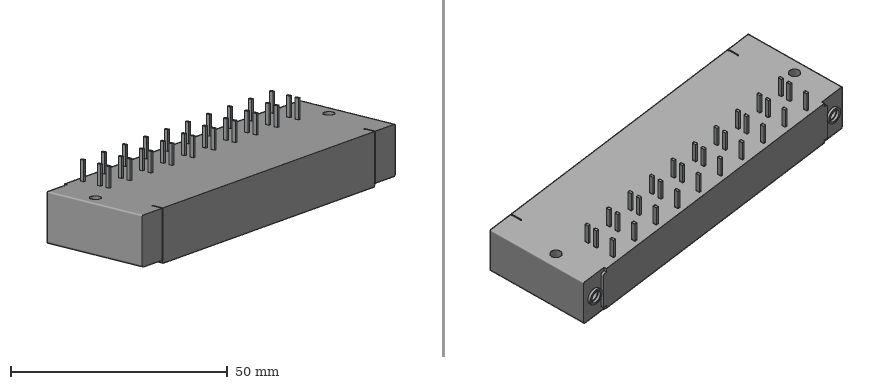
import cadquery as cq

LENGTH = 91.4
DEPTH = 29.3

BODY_LENGTH = 77.0
BODY_HEIGHT = 13.4
BODY_CHAMFER = 1.4
RELIEF_START = 13.7
RELIEF_WIDTH = 0.4
RELIEF_HEIGHT = 0.8

END_SETBACK = 0.7
END_BOTTOM = -12.6
END_TOP_RADIUS = 0.4
END_BOTTOM_RADIUS = 0.55

SHOULDER_LENGTH = 79.2
SHOULDER_TOP = -1.0
SHOULDER_BOTTOM = -11.25
SHOULDER_RADIUS = 0.7

RIDGE_LENGTH = 73.15
RIDGE_START = 26.3
RIDGE_DROP = 0.6

SLOT_START = 26.15
SLOT_WIDTH = 0.3

MOUNT_Y = 42.15
BOSS_Z = -6.2
BOSS_RADIUS = 2.1
COUNTERBORE_RADIUS = 1.6
COUNTERBORE_DEPTH = 0.7
BORE_RADIUS = 1.3
BORE_DEPTH = 4.6
SCREW_X = 12.25
SCREW_RADIUS = 1.4
SCREW_DEPTH = 4.6

PIN_COLUMNS_X = (1.8, 6.95, 9.5)
PIN_ROWS = 10
PIN_PITCH = 7.6
PIN_WIDTH = 1.0
PIN_THICKNESS = 0.6
PIN_HEIGHT = 5.2


def box(x_range, y_range, z_range):
    """Axis-aligned box spanning the given (low, high) ranges."""
    (x0, x1), (y0, y1), (z0, z1) = x_range, y_range, z_range
    return cq.Workplane("XY").box(x1 - x0, y1 - y0, z1 - z0, centered=False).translate((x0, y0, z0))


def centered_span(length):
    return (-length / 2, length / 2)


def make_end_blocks():
    """One bar carries both end blocks; the body covers its middle."""
    bar = box((END_SETBACK, DEPTH), centered_span(LENGTH), (END_BOTTOM, 0))
    bar = bar.edges("|X and >Z").fillet(END_TOP_RADIUS)
    return bar.edges("|X and <Z").fillet(END_BOTTOM_RADIUS)


def make_body():
    body = box((0, DEPTH), centered_span(BODY_LENGTH), (-BODY_HEIGHT, 0))
    body = body.edges("<X and <Z").chamfer(BODY_CHAMFER)
    return body.cut(make_edge_reliefs())


def make_edge_reliefs():
    """Triangular prisms that bevel the two lower side edges of the body at the rear."""
    edge = BODY_LENGTH / 2
    profile = [
        (edge - RELIEF_WIDTH, -BODY_HEIGHT),
        (edge, -BODY_HEIGHT),
        (edge, -BODY_HEIGHT + RELIEF_HEIGHT),
    ]
    prism = cq.Workplane("YZ", origin=(RELIEF_START, 0, 0)).polyline(profile).close()
    prism = prism.extrude(DEPTH - RELIEF_START)
    return prism.union(prism.mirror("XZ"))


def make_shoulder():
    plate = box((0, END_SETBACK), centered_span(SHOULDER_LENGTH), (SHOULDER_BOTTOM, SHOULDER_TOP))
    return plate.edges("|X and >Z").fillet(SHOULDER_RADIUS)


def make_snap_ridge():
    profile = [
        (RIDGE_START, -BODY_HEIGHT),
        (RIDGE_START, -BODY_HEIGHT - RIDGE_DROP),
        (DEPTH, -BODY_HEIGHT),
    ]
    return cq.Workplane("XZ").polyline(profile).close().extrude(RIDGE_LENGTH / 2, both=True)


def make_pins():
    centers = [
        (x, (row - (PIN_ROWS - 1) / 2) * PIN_PITCH)
        for x in PIN_COLUMNS_X
        for row in range(PIN_ROWS)
    ]
    return cq.Workplane("XY").pushPoints(centers).rect(PIN_WIDTH, PIN_THICKNESS).extrude(PIN_HEIGHT)


def mount_cylinders(radius, depth):
    """Cylinders along X at both mounting positions, starting at the front face."""
    centers = [(-MOUNT_Y, BOSS_Z), (MOUNT_Y, BOSS_Z)]
    return cq.Workplane("YZ").pushPoints(centers).circle(radius).extrude(depth)


def make_bosses():
    return mount_cylinders(BOSS_RADIUS, END_SETBACK)


def make_bores():
    """Blind bores through the bosses, each with a shallow counterbore at its mouth."""
    counterbores = mount_cylinders(COUNTERBORE_RADIUS, COUNTERBORE_DEPTH)
    return mount_cylinders(BORE_RADIUS, BORE_DEPTH).union(counterbores)


def make_screw_holes():
    centers = [(SCREW_X, -MOUNT_Y), (SCREW_X, MOUNT_Y)]
    return cq.Workplane("XY").pushPoints(centers).circle(SCREW_RADIUS).extrude(-SCREW_DEPTH)


def make_slots():
    outer = BODY_LENGTH / 2
    inner = outer - SLOT_WIDTH
    slot = box((SLOT_START, DEPTH), (inner, outer), (END_BOTTOM, 0))
    return slot.union(slot.mirror("XZ"))


result = (
    make_end_blocks()
    .union(make_body())
    .union(make_shoulder())
    .union(make_snap_ridge())
    .union(make_bosses())
    .union(make_pins())
    .cut(make_bores())
    .cut(make_screw_holes())
    .cut(make_slots())
)